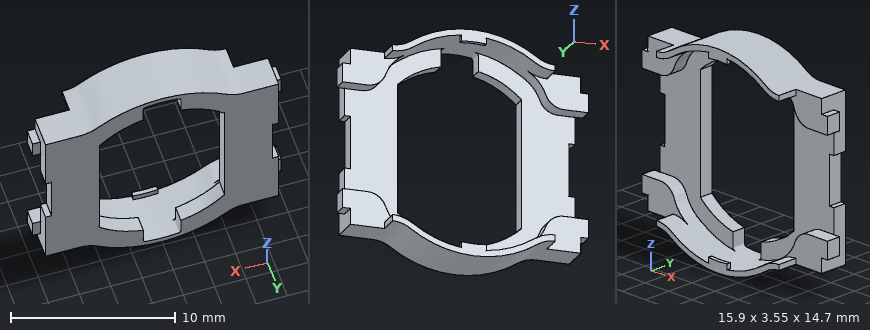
import cadquery as cq
import math

body_half_width = 7.46
body_half_height = 5.72
plate_depth = 1.02
pad_depth = 2.08
strap_depth = 3.55

strap_outer_radius = 7.34
strap_thickness = 0.4
strap_inner_radius = strap_outer_radius - strap_thickness
strap_middle_radius = strap_outer_radius - strap_thickness / 2
flare_radius = 2.0
flare_inner_radius = flare_radius + strap_thickness

window_radius = 5.78
window_half_width = 4.0
gap_half_width = 1.2
gap_fillet = 0.2

lip_half_width = 0.8
lip_inner_radius = 6.55
lip_depth = 0.3

side_relief_depth = 0.39
side_relief_half_height = 1.7

pad_bottom = 3.46
pad_convex_radius = 1.25
pad_concave_radius = 2.75
pad_straight_end = 6.36
tab_length = 0.5
tab_top = 4.69

flare_z = body_half_height + flare_radius
flare_x = math.sqrt((strap_outer_radius + flare_radius) ** 2 - flare_z ** 2)
flare_angle = math.atan2(flare_z, flare_x)


def polar(center, radius, angle):
    """Point on a circle, with the angle measured from +X towards +Z."""
    return (center[0] + radius * math.cos(angle), center[1] + radius * math.sin(angle))


def mirror_x(point):
    """The same point on the other side of the centre line X = 0."""
    return (-point[0], point[1])


def tangent_center(center_a, radius_a, center_b, radius_b, radius):
    """Centre of the circle touching circles a and b from outside, right of the line from a to b."""
    span_x = center_b[0] - center_a[0]
    span_z = center_b[1] - center_a[1]
    span = math.hypot(span_x, span_z)
    reach_a = radius_a + radius
    reach_b = radius_b + radius
    turn = math.acos((reach_a ** 2 + span ** 2 - reach_b ** 2) / (2 * reach_a * span))
    return polar(center_a, reach_a, math.atan2(span_z, span_x) - turn)


def direction(start, end):
    """Angle of the line from start to end, measured like in polar()."""
    return math.atan2(end[1] - start[1], end[0] - start[0])


def block(x_min, x_max, z_min, z_max, y_start, y_end):
    """Box between two depths measured from the back face."""
    sketch = cq.Workplane("XZ", origin=(0, -y_start, 0))
    sketch = sketch.center((x_min + x_max) / 2, (z_min + z_max) / 2)
    return sketch.rect(x_max - x_min, z_max - z_min).extrude(y_end - y_start)


def disc(radius, depth):
    return cq.Workplane("XZ").circle(radius).extrude(depth)


def both_ends(upper):
    return upper.union(upper.mirror("XY"))


def flare_points(radius):
    """Flat end, middle and arch end of the right-hand flare arc of the given radius."""
    center = (flare_x, flare_z)
    flat_angle = -math.pi / 2
    arch_angle = flare_angle - math.pi
    angles = (flat_angle, (flat_angle + arch_angle) / 2, arch_angle)
    return [polar(center, radius, angle) for angle in angles]


def upper_strap():
    outer_flat, outer_mid, outer_arch = flare_points(flare_radius)
    inner_flat, inner_mid, inner_arch = flare_points(flare_inner_radius)
    return (
        cq.Workplane("XZ")
        .moveTo(*mirror_x(outer_flat))
        .threePointArc(mirror_x(outer_mid), mirror_x(outer_arch))
        .threePointArc((0, strap_outer_radius), outer_arch)
        .threePointArc(outer_mid, outer_flat)
        .lineTo(*inner_flat)
        .threePointArc(inner_mid, inner_arch)
        .threePointArc((0, strap_inner_radius), mirror_x(inner_arch))
        .threePointArc(mirror_x(inner_mid), mirror_x(inner_flat))
        .close()
        .extrude(strap_depth)
    )


def upper_lip():
    lip = block(-lip_half_width, lip_half_width, 0, strap_outer_radius,
                strap_depth - lip_depth, strap_depth)
    return lip.intersect(disc(strap_middle_radius, strap_depth)).cut(disc(lip_inner_radius, strap_depth))


def upper_gap():
    gap = block(-gap_half_width, gap_half_width, 0, strap_outer_radius, 0, plate_depth)
    gap = gap.intersect(disc(strap_inner_radius, plate_depth))
    return gap.edges("|Y").edges(">Z").fillet(gap_fillet)


def plate():
    body = block(-body_half_width, body_half_width, -body_half_height, body_half_height, 0, plate_depth)
    body = body.union(disc(strap_middle_radius, plate_depth))
    relief_x = body_half_width - side_relief_depth
    for x_min, x_max in ((-body_half_width, -relief_x), (relief_x, body_half_width)):
        body = body.cut(block(x_min, x_max, -side_relief_half_height, side_relief_half_height,
                              0, plate_depth))
    window = block(-window_half_width, window_half_width, -window_radius, window_radius, 0, plate_depth)
    window = window.intersect(disc(window_radius, plate_depth))
    return body.cut(window).cut(both_ends(upper_gap()))


def upper_right_pad():
    """Pad in front of the plate; its S-shaped edge runs tangent into the inner face of the strap."""
    flare = (flare_x, flare_z)
    convex = (pad_straight_end, pad_bottom + pad_convex_radius)
    concave = tangent_center(flare, flare_inner_radius, convex, pad_convex_radius, pad_concave_radius)

    to_concave = direction(convex, concave)
    convex_end = polar(convex, pad_convex_radius, to_concave)
    convex_mid = polar(convex, pad_convex_radius, (to_concave - math.pi / 2) / 2)

    from_convex = direction(concave, convex)
    from_flare = direction(concave, flare)
    concave_mid = polar(concave, pad_concave_radius, (from_convex + from_flare) / 2)
    concave_end = polar(concave, pad_concave_radius, from_flare)

    outer_flat = flare_points(flare_radius)[0]
    inner_flat, inner_mid, _ = flare_points(flare_inner_radius)
    tab_end = body_half_width + tab_length
    return (
        cq.Workplane("XZ", origin=(0, -plate_depth, 0))
        .moveTo(body_half_width, body_half_height)
        .lineTo(body_half_width, tab_top)
        .lineTo(tab_end, tab_top)
        .lineTo(tab_end, pad_bottom)
        .lineTo(pad_straight_end, pad_bottom)
        .threePointArc(convex_mid, convex_end)
        .threePointArc(concave_mid, concave_end)
        .threePointArc(inner_mid, inner_flat)
        .lineTo(*outer_flat)
        .close()
        .extrude(pad_depth - plate_depth)
    )


upper_pads = upper_right_pad().union(upper_right_pad().mirror("YZ"))
upper_parts = upper_strap().union(upper_lip()).union(upper_pads)
result = plate().union(both_ends(upper_parts))